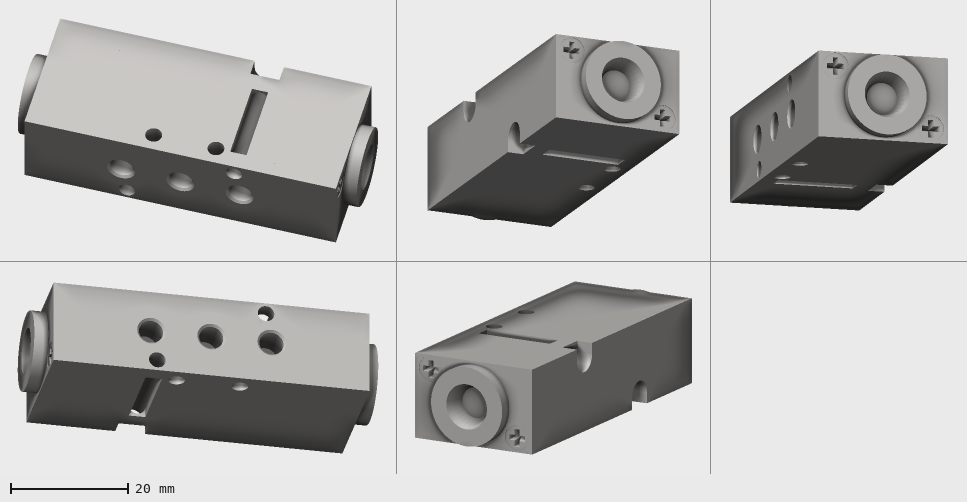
import cadquery as cq

TOTAL_LENGTH = 60.0
DEPTH = 23.0
HEIGHT = 15.0
BODY_LENGTH = 32.0
CAP_LENGTH = 11.6
CAP_INNER_X = BODY_LENGTH / 2
CAP_OUTER_X = CAP_INNER_X + CAP_LENGTH
FRONT_Y = -DEPTH / 2
BACK_Y = DEPTH / 2

PORT_PITCH = 10.5
PORT_DIAMETER = 4.2
PORT_MOUTH_DIAMETER = 5.0
PORT_CHAMFER = (PORT_MOUTH_DIAMETER - PORT_DIAMETER) / 2
PORT_DEPTH = 6.0

HOLE_DIAMETER = 2.9
SIDE_HOLE_X = 9.5
SIDE_HOLE_Z = 5.5
TOP_HOLE_X = 5.5
TOP_HOLE_Y = -8.5

SEAT_WIDTH = 5.15
SEAT_DEPTH = 2.9
SLOT_FRONT_Y = TOP_HOLE_Y
SLOT_BACK_Y = 5.5

BOSS_DIAMETER = 14.0
BORE_MOUTH_DIAMETER = 8.0
BORE_FLOOR_DIAMETER = 5.4
BORE_DEPTH = 3.3

SCREW_Y = 8.45
SCREW_Z = 5.0
SCREW_DIAMETER = 4.6
SCREW_RECESS = 0.1
CROSS_LENGTH = 3.05
CROSS_WIDTH = 0.95
CROSS_DEPTH = 1.6


def cylinder_y(diameter, x, z, start_y, length):
    """Cylinder running toward +Y from start_y."""
    return cq.Workplane(cq.Solid.makeCylinder(
        diameter / 2, length, cq.Vector(x, start_y, z), cq.Vector(0, 1, 0)))


def open_channel(width, start_y, end_y):
    """Round-bottomed channel around the upper side hole, open to the top face."""
    length = end_y - start_y
    opening_height = HEIGHT / 2 - SIDE_HOLE_Z
    opening = (
        cq.Workplane("XY")
        .box(width, length, opening_height, centered=(True, False, False))
        .translate((SIDE_HOLE_X, start_y, SIDE_HOLE_Z))
    )
    return cylinder_y(width, SIDE_HOLE_X, SIDE_HOLE_Z, start_y, length).union(opening)


def make_port(x):
    """Blind port bored from the front face, with a chamfered mouth."""
    bore = cylinder_y(PORT_DIAMETER, x, 0, FRONT_Y, PORT_DEPTH)
    mouth = cq.Solid.makeCone(
        PORT_MOUTH_DIAMETER / 2, PORT_DIAMETER / 2, PORT_CHAMFER,
        cq.Vector(x, FRONT_Y, 0), cq.Vector(0, 1, 0))
    return bore.union(cq.Workplane(mouth))


def make_side_mount():
    """Side hole with its head seat at the back and its relief slot."""
    hole = cylinder_y(HOLE_DIAMETER, SIDE_HOLE_X, SIDE_HOLE_Z, FRONT_Y, DEPTH)
    slot = open_channel(HOLE_DIAMETER, SLOT_FRONT_Y, SLOT_BACK_Y)
    seat = open_channel(SEAT_WIDTH, BACK_Y - SEAT_DEPTH, BACK_Y)
    return hole.union(slot).union(seat)


def make_valve_body():
    """Central block with its ports and mounting holes."""
    body = cq.Workplane("XY").box(BODY_LENGTH, DEPTH, HEIGHT)
    for x in (-PORT_PITCH, 0, PORT_PITCH):
        body = body.cut(make_port(x))
    for angle in (0, 180):
        body = body.cut(make_side_mount().rotate((0, 0, 0), (0, 1, 0), angle))
    top_holes = (
        cq.Workplane("XY")
        .pushPoints([(-TOP_HOLE_X, TOP_HOLE_Y), (TOP_HOLE_X, TOP_HOLE_Y)])
        .circle(HOLE_DIAMETER / 2)
        .extrude(HEIGHT / 2, both=True)
    )
    return body.cut(top_holes)


def make_cross_arm():
    """Groove along Y that narrows toward +X, its four sides meeting in a ridge line."""
    ridge_length = CROSS_LENGTH - CROSS_WIDTH
    ridge_start = (CROSS_LENGTH - ridge_length) / 2
    ridge_z = CROSS_WIDTH / 2
    wedge = cq.Solid.makeWedge(
        CROSS_LENGTH, CROSS_DEPTH, CROSS_WIDTH,
        ridge_start, ridge_z, ridge_start + ridge_length, ridge_z)
    return (
        cq.Workplane(wedge)
        .translate((-CROSS_LENGTH / 2, 0, -CROSS_WIDTH / 2))
        .rotate((0, 0, 0), (0, 0, 1), -90)
    )


def make_screw_recess(y, z):
    """Shallow round recess for a screw head, with a cross groove in its floor."""
    center = (-CAP_OUTER_X, y, z)
    recess = cq.Workplane("YZ").circle(SCREW_DIAMETER / 2).extrude(SCREW_RECESS)
    for angle in (0, 90):
        arm = make_cross_arm().rotate((0, 0, 0), (1, 0, 0), angle)
        recess = recess.union(arm.translate((SCREW_RECESS, 0, 0)))
    return recess.translate(center)


def make_end_cap():
    """End cap on the -X side, with its round boss, tapered bore and two screws."""
    cap = (
        cq.Workplane("YZ")
        .rect(DEPTH, HEIGHT)
        .extrude(CAP_LENGTH)
        .translate((-CAP_OUTER_X, 0, 0))
    )
    boss = (
        cq.Workplane("YZ")
        .circle(BOSS_DIAMETER / 2)
        .extrude(TOTAL_LENGTH / 2 - CAP_INNER_X)
        .translate((-TOTAL_LENGTH / 2, 0, 0))
    )
    bore = cq.Solid.makeCone(
        BORE_MOUTH_DIAMETER / 2, BORE_FLOOR_DIAMETER / 2, BORE_DEPTH,
        cq.Vector(-TOTAL_LENGTH / 2, 0, 0), cq.Vector(1, 0, 0))
    cap = cap.union(boss).cut(cq.Workplane(bore))
    for side in (-1, 1):
        cap = cap.cut(make_screw_recess(side * SCREW_Y, side * SCREW_Z))
    return cap


valve_body = make_valve_body()
end_caps = [make_end_cap().rotate((0, 0, 0), (0, 1, 0), angle) for angle in (0, 180)]

result = cq.Compound.makeCompound([valve_body.val(), *[cap.val() for cap in end_caps]])